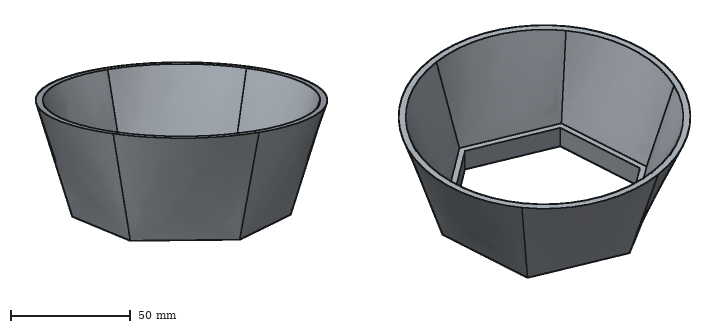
import cadquery as cq
import math

height = 50.0
rim_diameter = 122.0
wall = 3.0

opening_corner_diameter = 85.4
seat_height = 10.0

base_corner_diameter = opening_corner_diameter + 2.0 * wall
seat_corner_diameter = base_corner_diameter
cavity_rim_diameter = rim_diameter - 2.0 * wall

hex_sides = 6
corner_step = 360.0 / hex_sides


def corner_point(diameter, index, z):
    """Point number `index` of six on a circle at height z, starting on the +X axis."""
    angle = math.radians(index * corner_step)
    radius = diameter / 2.0
    return cq.Vector(radius * math.cos(angle), radius * math.sin(angle), z)


def hexagon_wire(corner_diameter, z):
    """Closed regular hexagon at height z."""
    corners = [corner_point(corner_diameter, i, z) for i in range(hex_sides)]
    return cq.Wire.makePolygon(corners, close=True)


def split_circle_wire(diameter, z):
    """Circle made of six equal arcs whose ends line up with the hexagon corners."""
    arcs = []
    for i in range(hex_sides):
        start = corner_point(diameter, i, z)
        middle = corner_point(diameter, i + 0.5, z)
        end = corner_point(diameter, i + 1, z)
        arcs.append(cq.Edge.makeThreePointArc(start, middle, end))
    return cq.Wire.assembleEdges(arcs)


def hexagon_to_circle(corner_diameter, bottom_z, circle_diameter, top_z):
    """Solid that blends from a hexagon at the bottom to a circle at the top."""
    bottom = hexagon_wire(corner_diameter, bottom_z)
    top = split_circle_wire(circle_diameter, top_z)
    return cq.Workplane(obj=cq.Solid.makeLoft([bottom, top], ruled=True))


def base_opening():
    """Straight hexagonal opening through the base, up to the seat."""
    return cq.Workplane("XY").polygon(hex_sides, opening_corner_diameter).extrude(seat_height)


body = hexagon_to_circle(base_corner_diameter, 0.0, rim_diameter, height)
cavity = hexagon_to_circle(seat_corner_diameter, seat_height, cavity_rim_diameter, height)

result = body.cut(cavity).cut(base_opening())